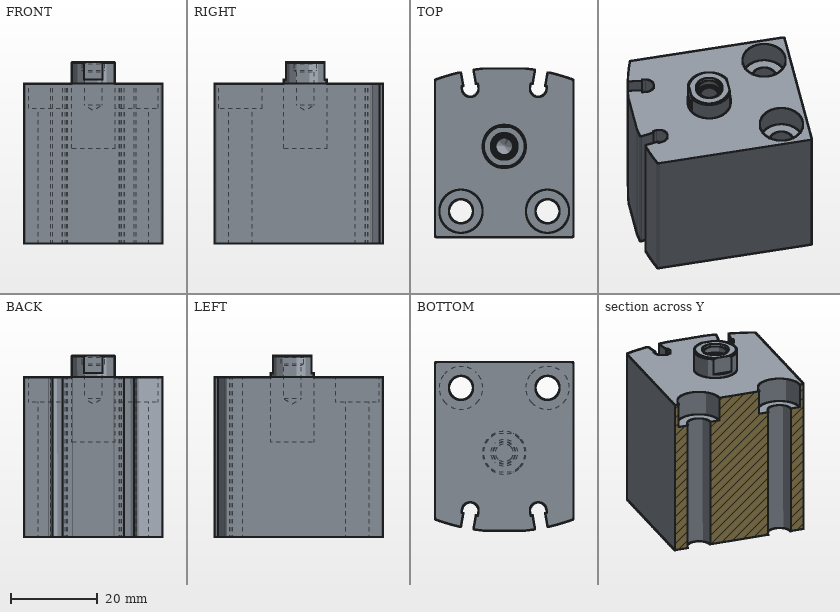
import cadquery as cq
import math

body_width = 32.0
body_front = -21.0
body_back = 18.0
arch_radius = 46.2
arch_peak = 18.25
body_height = 37.0
corner_radius = 0.38

mount_x = 10.0
mount_y = -15.0
mount_diameter = 5.5
counterbore_diameter = 10.0
counterbore_depth = 5.7

slot_x = 7.85
slot_y = 13.35
slot_tilt = 10.0
channel_radius = 1.9
shoulder_offset = 0.85
neck_width = 2.9
neck_length = 6.3
mouth_radius = 0.3

rod_diameter = 10.0
rod_top = 42.0
rod_embedded = 15.0
rod_chamfer = 0.25
flat_width = 9.0
flat_bottom = body_height + 0.92

rim_diameter = 6.17
recess_diameter = 5.3
recess_depth = 2.0
ledge_diameter = 5.0
tap_diameter = 4.1
tap_depth = 10.0
step_half_angle = 60.0
drill_half_angle = 59.0


def sensor_slot(side):
    """Slot cutter, drawn upright around its channel centre, then tilted; side is -1 or 1."""
    neck_half = neck_width / 2
    profile = (
        cq.Workplane("XY")
        .moveTo(channel_radius, 0)
        .lineTo(channel_radius, shoulder_offset)
        .lineTo(neck_half, shoulder_offset)
        .lineTo(neck_half, neck_length)
        .lineTo(-neck_half, neck_length)
        .lineTo(-neck_half, shoulder_offset)
        .lineTo(-channel_radius, shoulder_offset)
        .lineTo(-channel_radius, 0)
        .threePointArc((0, -channel_radius), (channel_radius, 0))
        .close()
    )
    upright = profile.extrude(body_height)
    tilted = upright.rotate((0, 0, 0), (0, 0, 1), -side * slot_tilt)
    return tilted.translate((side * slot_x, slot_y, 0))


def arch_y(x):
    """Height in Y of the arched back wall at a given X."""
    return arch_peak - arch_radius + math.sqrt(arch_radius**2 - x**2)


def arch_half_width(y):
    """X at which the arched back wall reaches a given Y."""
    return math.sqrt(arch_radius**2 - (y - arch_peak + arch_radius) ** 2)


def make_body():
    half_width = body_width / 2
    flat_half = arch_half_width(body_back)
    arch_edge = arch_y(half_width)
    middle_x = (half_width + flat_half) / 2
    body = (
        cq.Workplane("XY")
        .moveTo(-half_width, body_front)
        .lineTo(half_width, body_front)
        .lineTo(half_width, arch_edge)
        .threePointArc((middle_x, arch_y(middle_x)), (flat_half, body_back))
        .lineTo(-flat_half, body_back)
        .threePointArc((-middle_x, arch_y(middle_x)), (-half_width, arch_edge))
        .close()
        .extrude(body_height)
    )
    for corner in ("<X", ">X"):
        body = body.faces(corner).edges("|Z").fillet(corner_radius)
    for side in (-1, 1):
        body = body.cut(sensor_slot(side))

    for side in (-1, 1):
        mouth_box = cq.selectors.BoxSelector(
            (side * (slot_x - neck_width), slot_y + channel_radius, 0),
            (side * (slot_x + neck_width), arch_peak, body_height),
        )
        body = body.edges("|Z").edges(mouth_box).fillet(mouth_radius)

    body = (
        body.faces(">Z")
        .workplane(origin=(0, 0, body_height))
        .pushPoints([(-mount_x, mount_y), (mount_x, mount_y)])
        .cboreHole(mount_diameter, counterbore_diameter, counterbore_depth)
    )
    rod_bore = (
        cq.Workplane("XY")
        .workplane(offset=body_height - rod_embedded)
        .circle(rod_diameter / 2)
        .extrude(rod_embedded)
    )
    return body.cut(rod_bore)


def rod_hole():
    """Revolved cutter for the countersink, recess, tapped hole and drill point."""
    rim = rim_diameter / 2
    recess = recess_diameter / 2
    ledge = ledge_diameter / 2
    tap = tap_diameter / 2
    recess_floor = rod_top - recess_depth
    tap_start = recess_floor - (ledge - tap) / math.tan(math.radians(step_half_angle))
    tap_end = rod_top - tap_depth
    drill_tip = tap_end - tap / math.tan(math.radians(drill_half_angle))
    return (
        cq.Workplane("XZ")
        .moveTo(0, rod_top)
        .lineTo(rim, rod_top)
        .lineTo(recess, rod_top - (rim - recess))
        .lineTo(recess, recess_floor)
        .lineTo(ledge, recess_floor)
        .lineTo(tap, tap_start)
        .lineTo(tap, tap_end)
        .lineTo(0, drill_tip)
        .close()
        .revolve(360, (0, 0, 0), (0, 1, 0))
    )


def make_rod():
    rod_bottom = body_height - rod_embedded
    rod = (
        cq.Workplane("XY")
        .workplane(offset=rod_bottom)
        .circle(rod_diameter / 2)
        .extrude(rod_top - rod_bottom)
        .faces(">Z")
        .chamfer(rod_chamfer)
    )
    flat_depth = (rod_diameter - flat_width) / 2
    for side in (-1, 1):
        flat_cutter = (
            cq.Workplane("XY")
            .workplane(offset=flat_bottom)
            .center(0, side * (flat_width + flat_depth) / 2)
            .rect(rod_diameter, flat_depth)
            .extrude(rod_top - flat_bottom)
        )
        rod = rod.cut(flat_cutter)
    return rod.cut(rod_hole())


body = make_body()
rod = make_rod()
result = cq.Compound.makeCompound([body.val(), rod.val()])